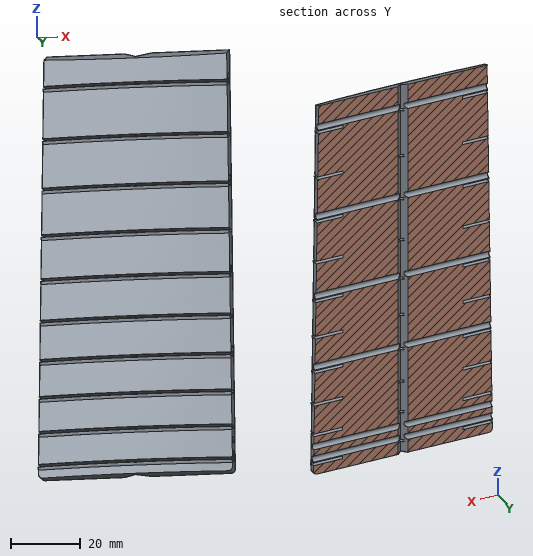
import cadquery as cq

length = 123.8
bottom_width = 56.9
top_width = 53.6
straight_height = 3.0
overall_thickness = 6.3
edge_thickness = 4.1
bottom_corner_radius = 1.2

top_drop = 2.6

channel_depth = 4.0

string_length = 323.5
first_fret = 3
octave_fret = 12
octave_fret_height = 3.6
slot_width = 0.7
slot_floor_center = 3.5
slot_floor_edge = 1.1

crown_diameter = 2.7
crown_height = 0.3
crown_drop = 0.4

marker_diameter = 1.9
marker_distance_from_back = 2.4
marker_offset = 1.7
octave_marker_pitch = 4.1
single_marker_frets = (3, 5, 7, 9)

half_width = bottom_width / 2
face_thickness = overall_thickness - crown_height
arch_rise = face_thickness - edge_thickness
arch_radius = (half_width**2 + arch_rise**2) / (2 * arch_rise)


def fret_height(fret):
    """Height of a fret, spaced in semitone steps along the string."""
    octave_distance = string_length / 2
    distance = string_length * 2 ** (-fret / 12)
    return octave_fret_height + distance - octave_distance


def arched_slab(center_depth, edge_depth, height):
    """Slab with a flat back and a front face arched across X."""
    return (
        cq.Workplane("XY")
        .moveTo(-half_width, 0)
        .lineTo(half_width, 0)
        .lineTo(half_width, -edge_depth)
        .threePointArc((0, -center_depth), (-half_width, -edge_depth))
        .close()
        .extrude(height)
    )


def tapered_block():
    """Board outline through its full thickness: straight sides at the bottom, tapered above."""
    return (
        cq.Workplane("XZ")
        .moveTo(-half_width, 0)
        .lineTo(half_width, 0)
        .lineTo(half_width, straight_height)
        .lineTo(top_width / 2, length)
        .lineTo(-top_width / 2, length)
        .lineTo(-half_width, straight_height)
        .close()
        .extrude(overall_thickness)
        .edges("|Y and <Z")
        .fillet(bottom_corner_radius)
    )


def top_slope():
    """Wedge that slopes the top end down toward the front."""
    return (
        cq.Workplane("YZ")
        .moveTo(0, length)
        .lineTo(-overall_thickness, length)
        .lineTo(-overall_thickness, length - top_drop)
        .close()
        .extrude(half_width, both=True)
    )


def back_channel():
    """Right-angled V channel along the middle of the back."""
    return (
        cq.Workplane("XY")
        .moveTo(-channel_depth, 0)
        .lineTo(0, -channel_depth)
        .lineTo(channel_depth, 0)
        .close()
        .extrude(length)
    )


def fret_crown(fret):
    """Low round ridge that follows the arch of the front face and ends flush with the sides."""
    crown_radius = crown_diameter / 2
    ring_radius = arch_radius + crown_height - crown_radius
    ring_center = (0, arch_radius - face_thickness, fret_height(fret) - crown_drop)
    ring = cq.Workplane(cq.Solid.makeTorus(ring_radius, crown_radius)).translate(ring_center)
    return ring.intersect(outline)


def fret_slot(fret):
    """Slot across the crown and front face, with an arched floor."""
    blank = cq.Workplane("XY").box(
        bottom_width, overall_thickness, slot_width, centered=(True, False, False)
    )
    floor = arched_slab(slot_floor_center, slot_floor_edge, slot_width)
    slot = blank.translate((0, -overall_thickness, 0)).cut(floor)
    return slot.translate((0, 0, fret_height(fret) - slot_width / 2))


def marker_hole(height):
    """Round hole through the full width."""
    return (
        cq.Workplane("YZ")
        .center(-marker_distance_from_back, height)
        .circle(marker_diameter / 2)
        .extrude(half_width, both=True)
    )


outline = tapered_block()
result = outline.intersect(arched_slab(face_thickness, edge_thickness, length))

frets = range(first_fret, octave_fret + 1)
for fret in frets:
    result = result.union(fret_crown(fret))

result = result.cut(top_slope()).cut(back_channel())

for fret in frets:
    result = result.cut(fret_slot(fret))

marker_heights = [fret_height(fret) + marker_offset for fret in single_marker_frets]
octave_marker_height = octave_fret_height + marker_offset
marker_heights += [octave_marker_height, octave_marker_height + octave_marker_pitch]
for height in marker_heights:
    result = result.cut(marker_hole(height))

result = cq.Workplane(result.solids().val())